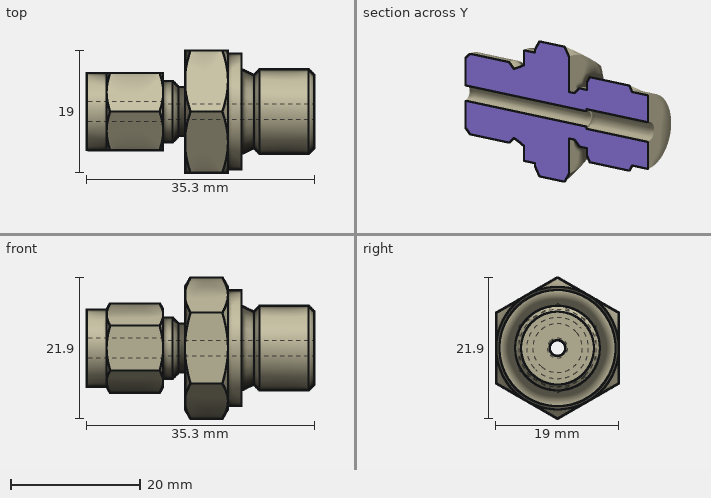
import cadquery as cq
import math


total_length = 35.3
nut_start = 3.1
nut_end = 11.85
ferrule_body_end = 13.3
neck_taper_end = 14.25
body_hex_start = 15.25
body_hex_end = 21.9
collar_end = 24.05
relief_bottom = 25.9

hex_sides = 6
nut_flats = 12.0
body_flats = 19.0
hex_chamfer_angle = 30.0

sleeve_radius = nut_flats / 2
ferrule_body_radius = 4.75
neck_radius = 3.8
collar_radius = 9.0
thread_radius = 6.55
thread_chamfer = 0.92
thread_root_radius = thread_radius - thread_chamfer

bore_radius = 1.2
tube_socket_radius = 1.55
tube_socket_depth = nut_end


def chamfered_hexagon(start, end, flats):
    """Hexagonal prism with corners up and down, both ends turned to a cone."""
    corner_radius = flats / 2 / math.cos(math.pi / hex_sides)
    chamfer_height = corner_radius - flats / 2
    chamfer_length = chamfer_height * math.tan(math.radians(hex_chamfer_angle))
    length = end - start
    prism = (
        cq.Workplane("YZ", origin=(start, 0, 0))
        .polygon(hex_sides, 2 * corner_radius)
        .extrude(length)
        .rotate((0, 0, 0), (1, 0, 0), 90)
    )
    turned_blank = (
        cq.Workplane("YZ", origin=(start, 0, 0))
        .circle(corner_radius)
        .extrude(length)
        .faces("<X or >X")
        .chamfer(chamfer_length, chamfer_height)
    )
    return prism.intersect(turned_blank)


def turned_body():
    """Solid of revolution carrying the sleeve, neck, collar and threaded end."""
    half_profile = [
        (0, 0),
        (0, sleeve_radius),
        (nut_start, sleeve_radius),
        (nut_start, ferrule_body_radius),
        (ferrule_body_end, ferrule_body_radius),
        (neck_taper_end, neck_radius),
        (body_hex_end, neck_radius),
        (body_hex_end, collar_radius),
        (collar_end, collar_radius),
        (collar_end, thread_radius),
        (relief_bottom, thread_root_radius),
        (relief_bottom + thread_chamfer, thread_radius),
        (total_length - thread_chamfer, thread_radius),
        (total_length, thread_root_radius),
        (total_length, 0),
    ]
    return cq.Workplane("XY").polyline(half_profile).close().revolve(360, (0, 0, 0), (1, 0, 0))


def axial_hole(radius, depth):
    """Cylinder running from the tube entry face into the part."""
    return cq.Workplane("YZ").circle(radius).extrude(depth)


nut = chamfered_hexagon(nut_start, nut_end, nut_flats)
body_hexagon = chamfered_hexagon(body_hex_start, body_hex_end, body_flats)

result = (
    turned_body()
    .union(nut)
    .union(body_hexagon)
    .cut(axial_hole(bore_radius, total_length))
    .cut(axial_hole(tube_socket_radius, tube_socket_depth))
)